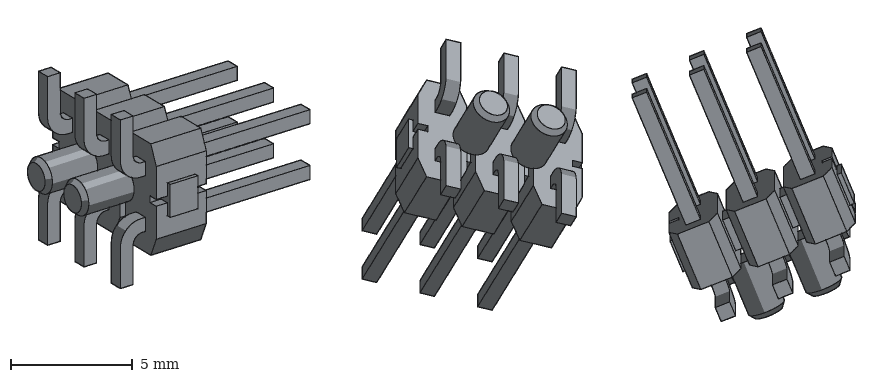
import cadquery as cq
import math


PITCH = 2.54
POSITIONS = 3
ROW_SPACING = PITCH

BLOCK_WIDTH = 2.16
BLOCK_HEIGHT = 2 * PITCH
BLOCK_DEPTH = PITCH
CHAMFER_WIDTH = 0.38
CHAMFER_HEIGHT = 0.88

GROOVE_DEPTH = 0.44
GROOVE_HEIGHT = 0.31

BAR_LENGTH = 7.62
BAR_DEPTH = 1.41
BAR_HEIGHT = 1.51

PEG_DIAMETER = 1.6
PEG_LENGTH = PITCH
PEG_BEVEL_LENGTH = 0.24
PEG_BEVEL_WIDTH = 0.19

OVERALL_LENGTH = 10.92
OVERALL_HEIGHT = 7.7
WIRE = 0.64
INNER_BEND_RADIUS = 0.47
OUTER_BEND_RADIUS = 1.03
TAIL_REACH = PITCH / 2

row_length = (POSITIONS - 1) * PITCH + BLOCK_WIDTH
contact_rear = OVERALL_LENGTH - PEG_LENGTH


def grid_x(count):
    """X positions of a centred row of equally spaced features."""
    return [(i - (count - 1) / 2) * PITCH for i in range(count)]


def box(x, y, z, width, depth, height):
    """Box centred on (x, y, z)."""
    return cq.Workplane("XY").box(width, depth, height).translate((x, y, z))


def make_block(x):
    """Block with an elongated octagonal section, extruded back from the mounting face."""
    half_width = BLOCK_WIDTH / 2
    half_height = BLOCK_HEIGHT / 2
    flat_x = half_width - CHAMFER_WIDTH
    flat_z = half_height - CHAMFER_HEIGHT
    outline = [
        (flat_x, half_height), (half_width, flat_z), (half_width, -flat_z), (flat_x, -half_height),
        (-flat_x, -half_height), (-half_width, -flat_z), (-half_width, flat_z), (-flat_x, half_height),
    ]
    return cq.Workplane("XZ").polyline(outline).close().extrude(-BLOCK_DEPTH).translate((x, 0, 0))


def make_peg(x):
    """Round alignment peg with a bevelled tip."""
    radius = PEG_DIAMETER / 2
    profile = [
        (0, 0), (radius, 0), (radius, PEG_BEVEL_LENGTH - PEG_LENGTH),
        (radius - PEG_BEVEL_WIDTH, -PEG_LENGTH), (0, -PEG_LENGTH),
    ]
    peg = cq.Workplane("XY").polyline(profile).close().revolve(360, (0, 0), (0, 1))
    return peg.translate((x, 0, 0))


def make_contact(x, side):
    """Bent square contact; side is +1 for the upper row and -1 for the lower row."""
    inner_z = ROW_SPACING / 2 - WIRE / 2
    outer_z = inner_z + WIRE
    tip_z = OVERALL_HEIGHT / 2
    front_y = -TAIL_REACH
    back_y = front_y + WIRE
    arc_inset = 1 - math.sqrt(0.5)

    def bend_points(corner_y, corner_z, radius):
        """Points on the rear leg, middle and tail of the quarter arc that rounds a corner."""
        inset = radius * arc_inset
        on_leg = (corner_y + radius, side * corner_z)
        middle = (corner_y + inset, side * (corner_z + inset))
        on_tail = (corner_y, side * (corner_z + radius))
        return on_leg, middle, on_tail

    outer_leg, outer_middle, outer_tail = bend_points(front_y, inner_z, OUTER_BEND_RADIUS)
    inner_leg, inner_middle, inner_tail = bend_points(back_y, outer_z, INNER_BEND_RADIUS)

    profile = (
        cq.Workplane("YZ")
        .moveTo(contact_rear, side * inner_z)
        .lineTo(*outer_leg)
        .threePointArc(outer_middle, outer_tail)
        .lineTo(front_y, side * tip_z)
        .lineTo(back_y, side * tip_z)
        .lineTo(*inner_tail)
        .threePointArc(inner_middle, inner_leg)
        .lineTo(contact_rear, side * outer_z)
        .close()
    )
    return profile.extrude(WIRE / 2, both=True).translate((x, 0, 0))


def make_bar():
    """Straight rectangular bar through the middle of every block."""
    return box(0, BLOCK_DEPTH / 2, 0, BAR_LENGTH, BAR_DEPTH, BAR_HEIGHT)


def make_groove(side):
    """Cutter for the groove along the outer side of an end block."""
    x = side * (row_length - GROOVE_DEPTH) / 2
    return box(x, BLOCK_DEPTH / 2, 0, GROOVE_DEPTH, BLOCK_DEPTH, GROOVE_HEIGHT)


def make_header():
    """Blocks joined by the pegs that straddle them, with the contacts moulded in and a bar passage."""
    header = cq.Workplane("XY")
    for x in grid_x(POSITIONS):
        header = header.union(make_block(x))
    for x in grid_x(POSITIONS - 1):
        header = header.union(make_peg(x))
    for side in (-1, 1):
        header = header.cut(make_groove(side))
        for x in grid_x(POSITIONS):
            header = header.union(make_contact(x, side))
    return header.cut(make_bar())


header = make_header()
bar = make_bar()

result = cq.Compound.makeCompound([*header.vals(), bar.val()])